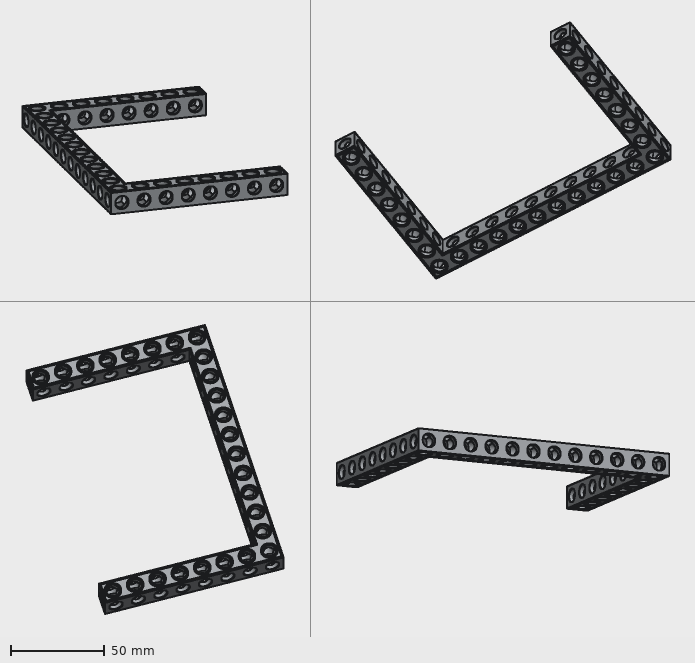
import cadquery as cq

LENGTH = 150.0
LONG_CELLS = 12
SIDE_CELLS = 8
PITCH = LENGTH / LONG_CELLS
DEPTH = SIDE_CELLS * PITCH

CHAMFER = 0.3
HOLE_DIAMETER = 7.0

PANEL_DEPTH = 0.22
RIM_WIDTH = 1.0
COLLAR_DIAMETER = 9.2

MID_HEIGHT = PITCH / 2
LAST_COLUMN = LONG_CELLS - 1


def cell_centre(index):
    """Distance from the outer corner to the middle of a grid cell."""
    return (index + 0.5) * PITCH


def cell_centres():
    """Centres of all the cells seen from above."""
    back_beam = [(cell_centre(column), cell_centre(0)) for column in range(LONG_CELLS)]
    arms = [
        (cell_centre(column), cell_centre(row))
        for column in (0, LAST_COLUMN)
        for row in range(1, SIDE_CELLS)
    ]
    return back_beam + arms


def u_block(inset, base, height):
    """U-shaped block whose walls sit a given inset inside the walls of the beam."""
    inner_wall = PITCH - inset
    outline = [
        (inset, inset),
        (LENGTH - inset, inset),
        (LENGTH - inset, DEPTH - inset),
        (LENGTH - inner_wall, DEPTH - inset),
        (LENGTH - inner_wall, inner_wall),
        (inner_wall, inner_wall),
        (inner_wall, DEPTH - inset),
        (inset, DEPTH - inset),
    ]
    return cq.Workplane("XY", origin=(0, 0, base)).polyline(outline).close().extrude(height)


def chamfered_frame():
    """Beam frame with every edge chamfered except the two inside corners of the U."""
    frame = u_block(0, 0, PITCH)
    back_cells, arm_cells = cell_centre(0), cell_centre(1)
    inside_corners = cq.selectors.BoxSelector(
        (back_cells, back_cells, 0),
        (LENGTH - back_cells, arm_cells, PITCH),
    )
    outer_corners = frame.edges("|Z").edges(cq.selectors.InverseSelector(inside_corners))
    frame = outer_corners.chamfer(CHAMFER)
    return frame.faces("<Z or >Z").edges().chamfer(CHAMFER)


def sunk_panel(base):
    """Cutter for one panel, with the hole collars left standing."""
    collars = (
        cq.Workplane("XY", origin=(0, 0, base))
        .pushPoints(cell_centres())
        .circle(COLLAR_DIAMETER / 2)
        .extrude(PANEL_DEPTH)
    )
    return u_block(RIM_WIDTH, base, PANEL_DEPTH).cut(collars)


def drill(start, direction, length):
    """Cutters for a round hole with a chamfered mouth at both ends."""
    start = cq.Vector(*start)
    direction = cq.Vector(*direction)
    end = start + direction * length
    radius = HOLE_DIAMETER / 2
    mouth_radius = radius + CHAMFER
    return [
        cq.Solid.makeCylinder(radius, length, start, direction),
        cq.Solid.makeCone(mouth_radius, radius, CHAMFER, start, direction),
        cq.Solid.makeCone(mouth_radius, radius, CHAMFER, end, -direction),
    ]


def vertical_holes():
    """Holes along Z in every cell."""
    cutters = []
    for x, y in cell_centres():
        cutters += drill((x, y, 0), (0, 0, 1), PITCH)
    return cutters


def holes_along_y():
    """Holes through the back beam and, at its two ends, the full length of the arms."""
    cutters = []
    for column in range(LONG_CELLS):
        length = DEPTH if column in (0, LAST_COLUMN) else PITCH
        cutters += drill((cell_centre(column), 0, MID_HEIGHT), (0, 1, 0), length)
    return cutters


def holes_along_x():
    """Holes through both arms, and one through the full length of the back beam."""
    cutters = drill((0, cell_centre(0), MID_HEIGHT), (1, 0, 0), LENGTH)
    for row in range(1, SIDE_CELLS):
        for arm_wall in (0, LENGTH - PITCH):
            cutters += drill((arm_wall, cell_centre(row), MID_HEIGHT), (1, 0, 0), PITCH)
    return cutters


body = chamfered_frame()
for panel_base in (0, PITCH - PANEL_DEPTH):
    body = body.cut(sunk_panel(panel_base))

cutters = vertical_holes() + holes_along_y() + holes_along_x()
result = cq.Workplane("XY").newObject(body.val().cut(*cutters).Solids())